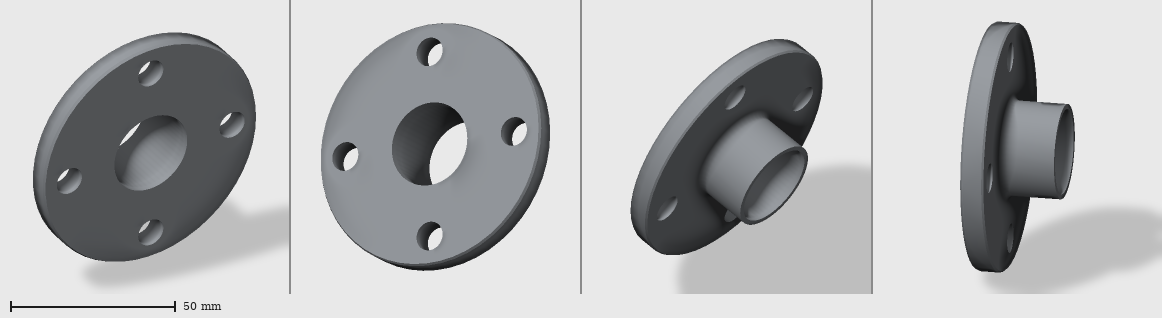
import cadquery as cq

flange_diameter = 76.0
flange_thickness = 7.2
total_length = 24.0
hub_diameter = 29.0
bore_diameter = 26.0
root_fillet = 2.0
rim_chamfer_depth = 0.45
hub_side_chamfer_length = 0.6
back_chamfer_length = 0.9
bolt_circle_diameter = 58.1
bolt_hole_diameter = 9.0
bolt_hole_count = 4

hub_length = total_length - flange_thickness


def make_flange():
    """Round disc with both rims chamfered, the back one longer along X."""
    flange_radius = flange_diameter / 2
    face_radius = flange_radius - rim_chamfer_depth
    profile = (
        cq.Workplane("XY")
        .lineTo(0, face_radius)
        .lineTo(hub_side_chamfer_length, flange_radius)
        .lineTo(flange_thickness - back_chamfer_length, flange_radius)
        .lineTo(flange_thickness, face_radius)
        .lineTo(flange_thickness, 0)
        .close()
    )
    return profile.revolve(360, (0, 0, 0), (1, 0, 0))


def make_hub():
    """Solid hub with a concave flare that blends into the flange face."""
    hub_radius = hub_diameter / 2
    flare_radius = hub_radius + root_fillet
    profile = (
        cq.Workplane("XY")
        .moveTo(-hub_length, 0)
        .lineTo(-hub_length, hub_radius)
        .lineTo(-root_fillet, hub_radius)
        .radiusArc((0, flare_radius), -root_fillet)
        .lineTo(0, 0)
        .close()
    )
    return profile.revolve(360, (0, 0, 0), (1, 0, 0))


def make_bore():
    """Cutter for the bore through the whole length."""
    bore_start = cq.Workplane("YZ", origin=(-hub_length, 0, 0))
    return bore_start.circle(bore_diameter / 2).extrude(total_length)


def make_bolt_holes():
    """Cutters for the ring of through holes in the flange."""
    return (
        cq.Workplane("YZ")
        .polarArray(bolt_circle_diameter / 2, 0, 360, bolt_hole_count)
        .circle(bolt_hole_diameter / 2)
        .extrude(flange_thickness)
    )


result = make_flange().union(make_hub()).cut(make_bore()).cut(make_bolt_holes())